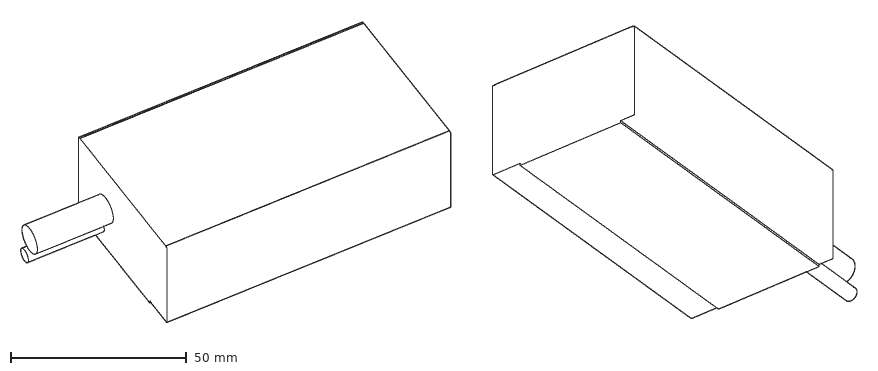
import cadquery as cq

total_length = 117.9
housing_length = 93.0
cable_length = total_length - housing_length
width = 51.0
half_width = width / 2

rim_height = 30.5
edge_radius = 0.4
wall = 0.8

rib_depth = 1.1
rib_tip_height = 5.8
rib_flare = 0.5
rib_pitch = 9.0
lower_rib_tip_z = 10.4
rib_count = 2
lip_tip_z = lower_rib_tip_z + rib_count * rib_pitch

gutter_z = 3.1
gutter_width = 2.4
floor_z = 4.1
raised_floor_z = 4.5
raised_floor_start_x = 14.4

filling_top_z = 30.7

pad_thickness = 0.7
pad_left_x = -20.5
pad_right_x = 15.6

cable_diameter = 9.0
cable_x = -9.9
cable_z = 15.1
lead_diameter = 4.5
lead_x = -12.9
lead_z = 6.0


def block(left, right, bottom, top):
    """A bar of housing length between the given X and Z limits."""
    return (
        cq.Workplane("XY")
        .box(right - left, housing_length, top - bottom, centered=False)
        .translate((left, 0, bottom))
    )


def extrude_section(points):
    """A bar of housing length with the given XZ section."""
    return cq.Workplane("XZ").polyline(points).close().extrude(-housing_length)


def make_wall_ribs():
    """Ribs and rim lip of the -X wall; their flanks flare out towards the tips."""
    root_x = -half_width + wall
    tip_x = root_x + rib_depth
    base_x = -half_width + edge_radius
    ribs = extrude_section([
        (base_x, rim_height),
        (base_x, lip_tip_z + rib_flare),
        (root_x, lip_tip_z + rib_flare),
        (tip_x, lip_tip_z),
        (tip_x, rim_height),
    ])
    for index in range(rib_count):
        tip_bottom = lower_rib_tip_z + index * rib_pitch
        tip_top = tip_bottom + rib_tip_height
        ribs = ribs.union(extrude_section([
            (base_x, tip_bottom + rib_flare),
            (root_x, tip_bottom + rib_flare),
            (tip_x, tip_bottom),
            (tip_x, tip_top),
            (root_x, tip_top - rib_flare),
            (base_x, tip_top - rib_flare),
        ]))
    return ribs


def make_channel():
    """Open-topped channel with rounded outer edges, ribbed walls and a stepped floor."""
    inner_x = half_width - wall
    floor_x = inner_x - gutter_width
    channel = block(-half_width, half_width, 0, rim_height).edges("|Y").fillet(edge_radius)
    channel = channel.cut(block(-inner_x, inner_x, gutter_z, rim_height))
    channel = channel.union(block(-floor_x, floor_x, gutter_z, floor_z))
    channel = channel.union(block(raised_floor_start_x, floor_x, floor_z, raised_floor_z))
    ribs = make_wall_ribs()
    return channel.union(ribs).union(ribs.mirror("YZ"))


def make_filling(channel):
    """Solid filling between the walls, fitted around the ribs and the floor."""
    inner_x = half_width - wall
    return block(-inner_x, inner_x, gutter_z, filling_top_z).cut(channel)


def make_cable(diameter, x, z):
    return cq.Workplane("XZ").center(x, z).circle(diameter / 2).extrude(cable_length)


channel = make_channel()
filling = make_filling(channel)
channel = channel.union(block(pad_left_x, pad_right_x, -pad_thickness, 0))

result = channel.union(filling, clean=False)
result = result.union(make_cable(cable_diameter, cable_x, cable_z), clean=False)
result = result.union(make_cable(lead_diameter, lead_x, lead_z), clean=False)